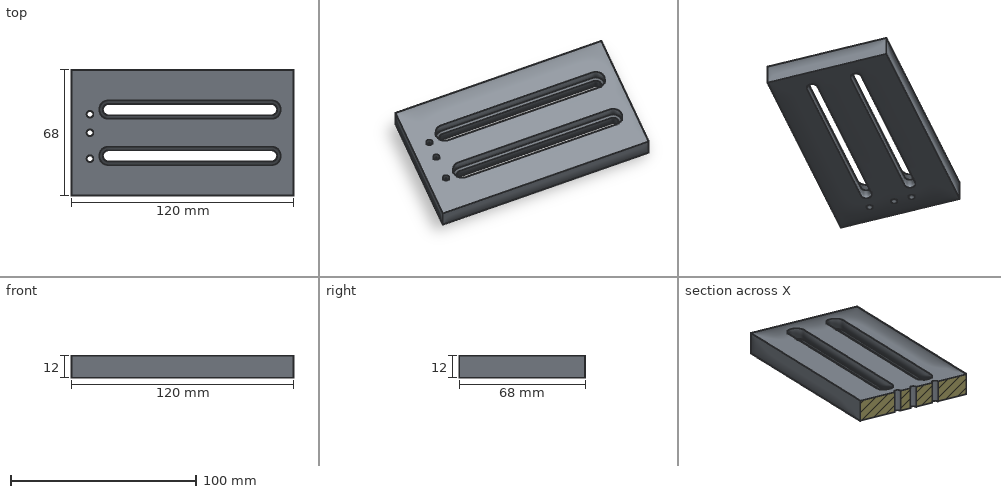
import cadquery as cq

plate_length = 120.0
plate_width = 68.0
plate_thickness = 12.0

slot_start_margin = 15.0
slot_length = 98.0
slot_width = 10.0
slot_spacing = 25.0
ledge_width = 2.0
ledge_thickness = 6.0

hole_diameter = 3.5
hole_margin = 10.0
hole_y_positions = (10.0, 0.0, -14.0)

plate_left = -plate_length / 2
slot_center_x = plate_left + slot_start_margin + slot_length / 2
hole_x = plate_left + hole_margin


def make_plate():
    return cq.Workplane("XY").box(
        plate_length, plate_width, plate_thickness, centered=(True, True, False)
    )


def make_stepped_slot(center_y):
    """Wide upper slot above a narrower through slot, leaving a ledge all round."""
    through_length = slot_length - 2 * ledge_width
    through_width = slot_width - 2 * ledge_width
    through_slot = (
        cq.Workplane("XY")
        .center(slot_center_x, center_y)
        .slot2D(through_length, through_width)
        .extrude(plate_thickness)
    )
    upper_slot = (
        cq.Workplane("XY", origin=(0, 0, ledge_thickness))
        .center(slot_center_x, center_y)
        .slot2D(slot_length, slot_width)
        .extrude(plate_thickness - ledge_thickness)
    )
    return through_slot.union(upper_slot)


def make_holes():
    return (
        cq.Workplane("XY")
        .pushPoints([(hole_x, y) for y in hole_y_positions])
        .circle(hole_diameter / 2)
        .extrude(plate_thickness)
    )


result = make_plate()
for side in (1, -1):
    result = result.cut(make_stepped_slot(side * slot_spacing / 2))
result = result.cut(make_holes())